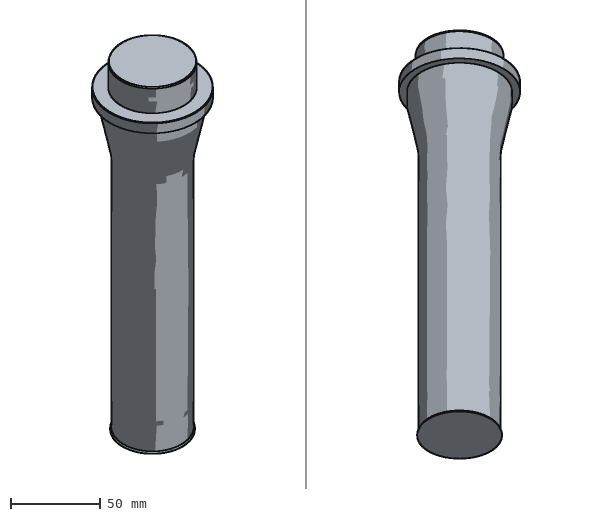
import cadquery as cq

total_height = 258.7
joint_z = 233.3

sleeve_radius = 46.3 / 2
barrel_radius = 46.5 / 2
neck_bottom_radius = 46.3 / 2
neck_top_radius = 46.8 / 2
collar_radius = 59.0 / 2
foot_radius = 40.4 / 2
lip_radius = 47.9 / 2
foot_z = 0.5
lip_z = 1.8
flare_top_z = 3.0
sleeve_top_z = 21.0
barrel_bottom_z = 24.0
barrel_top_z = 116.7
neck_bottom_z = 189.5
cone_bottom_z = 194.5
cone_top_z = 224.0

flange_radius = 68.0 / 2
plug_radius = 50.0 / 2
plug_tip_radius = 49.7 / 2
flange_top_z = 240.5
plug_taper_bottom_z = 248.9
plug_taper_top_z = 251.5
flange_chamfer = 0.4
tip_chamfer_width = 0.4
tip_chamfer_height = 1.0


def revolve_outline(outline):
    """Turn an open (radius, z) outline that ends on the Z axis into a solid."""
    return outline.close().revolve(360, (0, 0, 0), (0, 1, 0))


def make_tube():
    """Round tube with a lipped foot below and a cone and collar above."""
    return revolve_outline(
        cq.Workplane("XZ")
        .lineTo(foot_radius, foot_z)
        .lineTo(lip_radius, lip_z)
        .lineTo(sleeve_radius, flare_top_z)
        .lineTo(sleeve_radius, sleeve_top_z)
        .lineTo(barrel_radius, barrel_bottom_z)
        .lineTo(barrel_radius, barrel_top_z)
        .lineTo(neck_bottom_radius, neck_bottom_z)
        .lineTo(neck_top_radius, cone_bottom_z)
        .lineTo(collar_radius, cone_top_z)
        .lineTo(collar_radius, joint_z)
        .lineTo(0, joint_z)
    )


def make_plug():
    """Flanged plug with a slightly narrower, chamfered tip."""
    return revolve_outline(
        cq.Workplane("XZ")
        .moveTo(0, joint_z)
        .lineTo(flange_radius, joint_z)
        .lineTo(flange_radius, flange_top_z - flange_chamfer)
        .lineTo(flange_radius - flange_chamfer, flange_top_z)
        .lineTo(plug_radius, flange_top_z)
        .lineTo(plug_radius, plug_taper_bottom_z)
        .lineTo(plug_tip_radius, plug_taper_top_z)
        .lineTo(plug_tip_radius, total_height - tip_chamfer_height)
        .lineTo(plug_tip_radius - tip_chamfer_width, total_height)
        .lineTo(0, total_height)
    )


tube = make_tube()
plug = make_plug()

result = cq.Compound.makeCompound([tube.val(), plug.val()])